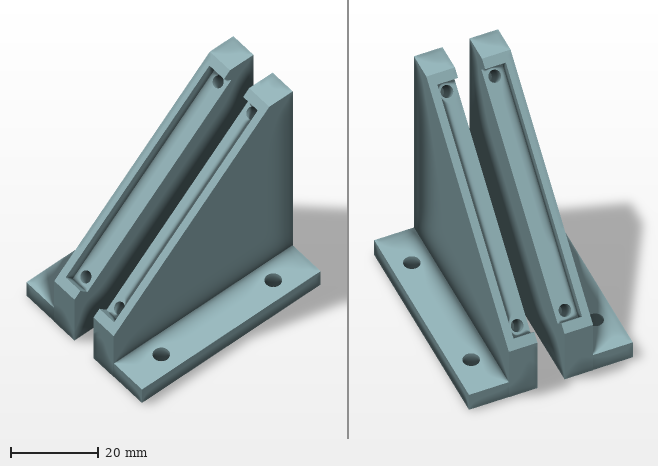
import cadquery as cq
import math

total_width = 41.0
total_height = 61.7
web_depth = 53.65

gap_width = 6.8
web_thickness = 7.15
top_flat = 7.0

flange_height = 4.95
flange_depth = 53.5
flange_hole_diameter = 4.0
flange_hole_inset = 10.0

pocket_wall = 2.0
pocket_depth = 3.0
pocket_end_margin = 2.5

screw_hole_diameter = 3.0
screw_hole_depth = 7.4
screw_hole_end_offset = 2.4

inner_x = gap_width / 2
web_outer_x = inner_x + web_thickness
flange_outer_x = total_width / 2
flange_width = flange_outer_x - web_outer_x
flange_setback = (web_depth - flange_depth) / 2
slope_rise = web_depth - top_flat
nose_height = total_height - slope_rise
slope_length = slope_rise * math.sqrt(2)
pocket_width = web_thickness - pocket_wall
pocket_length = slope_length - 2 * pocket_end_margin
screw_hole_spacing = pocket_length - 2 * screw_hole_end_offset


def slope_plane():
    """Plane at the middle of the slope: local X along world X, local Y up the slope, normal outward."""
    center = (inner_x + pocket_width / 2, slope_rise / 2, nose_height + slope_rise / 2)
    return cq.Plane(origin=center, xDir=(1, 0, 0), normal=(0, -1, 1))


def make_web():
    outline = [
        (0, 0),
        (web_depth, 0),
        (web_depth, total_height),
        (slope_rise, total_height),
        (0, nose_height),
    ]
    return cq.Workplane("YZ", origin=(inner_x, 0, 0)).polyline(outline).close().extrude(web_thickness)


def make_flange():
    plate = cq.Workplane("XY").box(flange_width, flange_depth, flange_height, centered=False)
    hole_places = [
        (flange_width / 2, flange_hole_inset),
        (flange_width / 2, flange_depth - flange_hole_inset),
    ]
    holes = (
        cq.Workplane("XY")
        .pushPoints(hole_places)
        .circle(flange_hole_diameter / 2)
        .extrude(flange_height)
    )
    return plate.cut(holes).translate((web_outer_x, flange_setback, 0))


def make_pocket_cutter():
    return cq.Workplane(slope_plane()).rect(pocket_width, pocket_length).extrude(-pocket_depth)


def make_screw_hole_cutter():
    hole_places = [(0, -screw_hole_spacing / 2), (0, screw_hole_spacing / 2)]
    return (
        cq.Workplane(slope_plane())
        .workplane(offset=-pocket_depth)
        .pushPoints(hole_places)
        .circle(screw_hole_diameter / 2)
        .extrude(-screw_hole_depth)
    )


def make_bracket(side):
    """One bracket: side +1 stands at +X, side -1 is its mirror image at -X."""
    bracket = make_web().union(make_flange())
    bracket = bracket.cut(make_pocket_cutter()).cut(make_screw_hole_cutter())
    if side < 0:
        bracket = bracket.mirror("YZ")
    return bracket


brackets = [make_bracket(side) for side in (-1, 1)]

result = cq.Compound.makeCompound([bracket.val() for bracket in brackets])